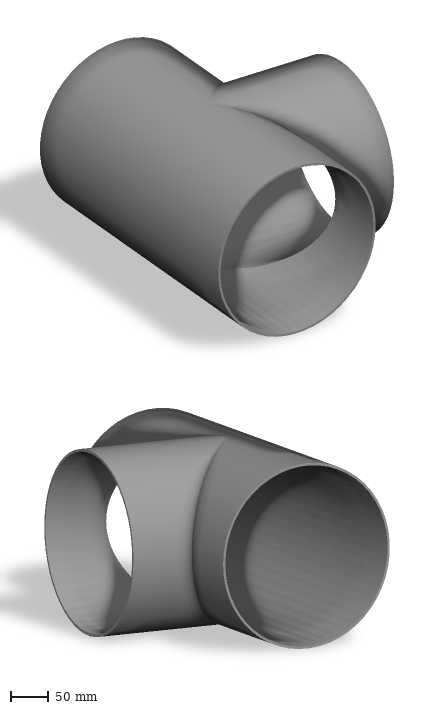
import cadquery as cq

run_length = 432.0
outer_diameter = 254.0
inner_diameter = 247.0
branch_reach = 216.0


def tee(diameter):
    """Solid tee of the given diameter, centred where the two axes cross."""
    radius = diameter / 2
    run = cq.Workplane("YZ").circle(radius).extrude(run_length / 2, both=True)
    branch = cq.Workplane("XZ").circle(radius).extrude(-branch_reach)
    return run.union(branch)


result = tee(outer_diameter).cut(tee(inner_diameter))